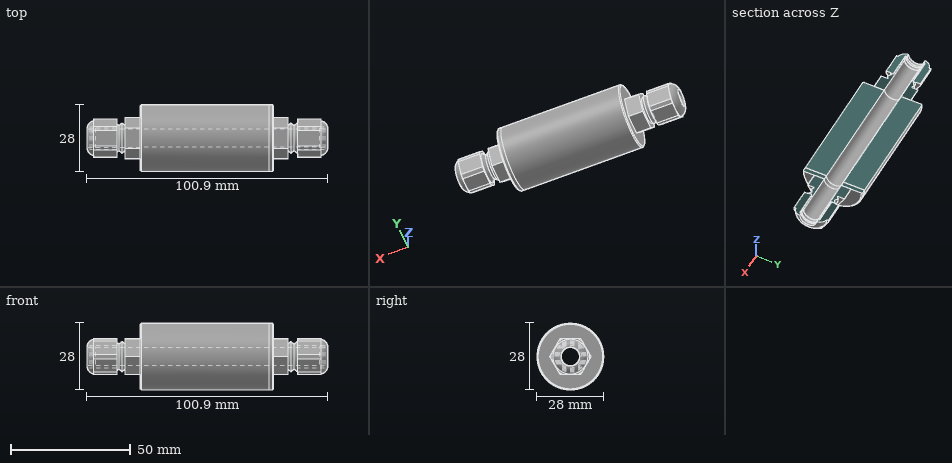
import cadquery as cq
import math

OVERALL_LENGTH = 100.89
HEX_SIDES = 6
HALF_HEX_STEP = 180 / HEX_SIDES

BODY_DIAMETER = 28.0
BODY_LENGTH = 55.85
CAP_LENGTH = 2.0
BODY_CHAMFER = 0.5

GLAND_HEX_FLATS = 15.0
LEFT_HEX_LENGTH = 6.45
RIGHT_HEX_LENGTH = 6.1
THREAD_CREST_DIAMETER = 12.7
THREAD_ROOT_DIAMETER = 10.6
THREAD_START_DIAMETER = 11.03
CREST_OFFSET = 1.15
ROOT_OFFSET = 2.45
STEM_DIAMETER = 9.5
STEM_TIP_SETBACK = 1.3
CABLE_BORE = 7.64
BORE_GROOVE_DIAMETER = 8.0
BORE_GROOVE_WIDTH = 1.5
BORE_GROOVE_OFFSET = 0.8

NUT_HEX_FLATS = 15.0
NUT_CORNER_FLATS = 16.2
NUT_HEX_LENGTH = 9.8
DOME_LENGTH = 2.85
DOME_BASE_DIAMETER = 14.6
DOME_MID_DIAMETER = 12.6
DOME_MID_DISTANCE = 1.0
NUT_LENGTH = NUT_HEX_LENGTH + DOME_LENGTH
STEM_DEPTH_IN_NUT = NUT_LENGTH - STEM_TIP_SETBACK
LEFT_NUT_GAP = 3.2

BODY_START = NUT_LENGTH + LEFT_NUT_GAP + LEFT_HEX_LENGTH
BODY_END = BODY_START + BODY_LENGTH
RIGHT_NUT_GAP = OVERALL_LENGTH - BODY_END - RIGHT_HEX_LENGTH - NUT_LENGTH


def cylinder(start, length, diameter):
    """Solid cylinder on the X axis."""
    return cq.Workplane("YZ", origin=(start, 0, 0)).circle(diameter / 2).extrude(length)


def hex_prism(start, length, flats):
    """Hexagonal prism on the X axis, with flats facing up and down."""
    corners = flats / math.cos(math.radians(HALF_HEX_STEP))
    return cq.Workplane("YZ", origin=(start, 0, 0)).polygon(HEX_SIDES, corners).extrude(length)


def revolve_about_x(profile):
    """Close a half outline and revolve it into a solid."""
    return profile.close().revolve(360, (0, 0, 0), (1, 0, 0))


def make_housing():
    """Cylindrical housing with a cable bore, chamfered at its closed left end."""
    length = BODY_LENGTH - CAP_LENGTH
    tube = cylinder(BODY_START, length, BODY_DIAMETER).faces("<X").chamfer(BODY_CHAMFER)
    return tube.cut(cylinder(BODY_START, length, CABLE_BORE))


def make_cap():
    """Disc that closes the right end of the housing."""
    start = BODY_END - CAP_LENGTH
    disc = cylinder(start, CAP_LENGTH, BODY_DIAMETER).faces(">X").chamfer(BODY_CHAMFER)
    return disc.cut(cylinder(start, CAP_LENGTH, CABLE_BORE))


def thread_diameter_at_nut(nut_gap):
    """Diameter of the rising thread flank where it meets the nut."""
    slope = (THREAD_CREST_DIAMETER - THREAD_ROOT_DIAMETER) / (ROOT_OFFSET - CREST_OFFSET)
    return THREAD_ROOT_DIAMETER + slope * (nut_gap - ROOT_OFFSET)


def make_gland(hex_length, nut_gap):
    """Gland with its mounting face at X = 0, pointing along +X."""
    thread = revolve_about_x(
        cq.Workplane("XY")
        .moveTo(hex_length, 0)
        .lineTo(hex_length, THREAD_START_DIAMETER / 2)
        .lineTo(hex_length + CREST_OFFSET, THREAD_CREST_DIAMETER / 2)
        .lineTo(hex_length + ROOT_OFFSET, THREAD_ROOT_DIAMETER / 2)
        .lineTo(hex_length + nut_gap, thread_diameter_at_nut(nut_gap) / 2)
        .lineTo(hex_length + nut_gap, 0)
    )
    stem = cylinder(hex_length + nut_gap, STEM_DEPTH_IN_NUT, STEM_DIAMETER)
    length = hex_length + nut_gap + STEM_DEPTH_IN_NUT
    gland = hex_prism(0, hex_length, GLAND_HEX_FLATS).union(thread).union(stem)
    gland = gland.cut(cylinder(0, length, CABLE_BORE))
    groove_start = length - BORE_GROOVE_OFFSET - BORE_GROOVE_WIDTH
    return gland.cut(cylinder(groove_start, BORE_GROOVE_WIDTH, BORE_GROOVE_DIAMETER))


def make_nut():
    """Dome nut with its hexagonal end at X = 0 and its dome toward +X."""
    corner_trim = hex_prism(0, NUT_HEX_LENGTH, NUT_CORNER_FLATS)
    corner_trim = corner_trim.rotate((0, 0, 0), (1, 0, 0), HALF_HEX_STEP)
    hexagon = hex_prism(0, NUT_HEX_LENGTH, NUT_HEX_FLATS).intersect(corner_trim)
    dome = revolve_about_x(
        cq.Workplane("XY")
        .moveTo(NUT_HEX_LENGTH, 0)
        .lineTo(NUT_HEX_LENGTH, DOME_BASE_DIAMETER / 2)
        .threePointArc(
            (NUT_LENGTH - DOME_MID_DISTANCE, DOME_MID_DIAMETER / 2),
            (NUT_LENGTH, CABLE_BORE / 2),
        )
        .lineTo(NUT_LENGTH, 0)
    )
    nut = hexagon.union(dome)
    nut = nut.cut(cylinder(0, NUT_LENGTH, CABLE_BORE))
    return nut.cut(cylinder(0, STEM_DEPTH_IN_NUT, STEM_DIAMETER))


def to_left_end(part):
    """Turn a part about Z so that it points along -X, its base on the housing's left face."""
    return part.rotate((0, 0, 0), (0, 0, 1), 180).translate((BODY_START, 0, 0))


def to_right_end(part):
    """Move a part so that its base sits on the cap's outer face."""
    return part.translate((BODY_END, 0, 0))


housing = make_housing()
cap = make_cap()
fittings = []
for hex_length, nut_gap, place in (
    (LEFT_HEX_LENGTH, LEFT_NUT_GAP, to_left_end),
    (RIGHT_HEX_LENGTH, RIGHT_NUT_GAP, to_right_end),
):
    gland = make_gland(hex_length, nut_gap)
    nut = make_nut().translate((hex_length + nut_gap, 0, 0))
    fittings.append(place(gland).val())
    fittings.append(place(nut).val())

result = cq.Compound.makeCompound([housing.val(), cap.val(), *fittings])